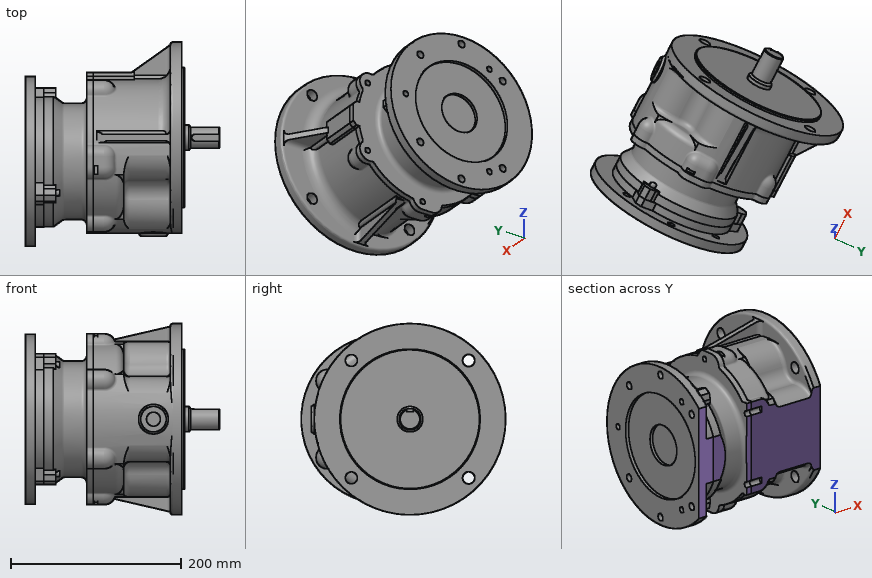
import cadquery as cq
import math

input_y = -28.0
gear_y = -21.5

tolerance = 0.01

flange_end = 12.0
collar_end = 22.0
ring_end = 33.0
clamp_end = 36.0
cone_end = 44.7
cover_start = 72.0
cover_end = 80.0
lobe_end = 92.8
valley_start = 115.8
output_start = 170.4
output_end = 184.0
pilot_end = 187.4
shoulder_end = 194.5
shaft_end = 228.5

input_diameter = 200.0
spigot_diameter = 130.0
spigot_depth = 4.5
bore_diameter = 50.0
bore_depth = 4.0
motor_hole_diameter = 9.0
motor_circle_radius = 82.5
vertical_hole_radius = 90.0
diagonal_angles = (45, 135, 225, 315)
lug_hole_diameter = 7.0
lug_hole_radius = 79.0
lug_hole_depth = 18.0

collar_radius = 77.0
lug_angles = (0, 120, 240)
lug_tip_radius = 86.5
lug_tip_half = 4.2
collar_lug_foot = (75.5, 15.1)
clamp_shoulder = (80.8, 9.4)
clamp_foot = (75.0, 12.0)
nub_angles = (120, 240)
nub_radius = 4.0
nub_circle_radius = 73.5
nub_end = 40.7
neck_radius = 68.5
neck_fillet = 6.0
cone_fillet = 2.8

barrel_radius = 91.0
lobe_radius = 13.5
lobe_y_offset = 75.5
lobe_height = 45.0
top_lobe_height = 87.0
top_lobe_stretch = 13.5
lobe_fillet = 3.0
screw_circle_radius = 90.0
screw_hole_diameter = 6.8
screw_hole_end = 95.0
notch_offset = 1.0
notch_length = 4.0
notch_width = 10.0
notch_depth = 4.5
notch_y = -38.0

pad_top = 76.8
pad_half_width = 16.0
pad_corner = 4.5
pad_end = 128.0

output_diameter = 225.0
rim_fillet = 3.3
mount_hole_diameter = 14.0
mount_circle_diameter = 195.0
pilot_diameter = 165.0
pilot_chamfer = 1.0
root_fillet = 14.0

valley_radius = 19.2
valley_upper_bulge = 34.0
valley_lower_bulge = 33.0
valley_top = (-18.3, 91.2)
valley_upper_turn = (-49.9, 65.3)
valley_lower_turn = (-73.0, 50.0)
valley_bottom = (-107.5, 30.0)
valley_inner_fillet = 7.0
valley_root_fillet = 4.5
valley_brow_fillet = 10.0

rib_thickness = 7.5
rib_tip_radius = 109.0
rib_root_fillet = 4.5
rib_gear_side_fillet = 2.0
rib_flange_fillet = 6.0
rib_vertical_start = (84.0, 89.0)
rib_side_start = (125.0, pad_top)

plug_x = 150.6
plug_face_diameter = 30.0
plug_base_diameter = 35.0
plug_height = 3.4
plug_hole_diameter = 16.4
plug_hole_depth = 8.0

shoulder_diameter = 30.0
shoulder_chamfer = 2.5
shaft_diameter = 25.0
shaft_chamfer = 1.0
key_width = 8.0
key_depth = 4.0
key_start = 195.5


def plane_at(x, y=0.0):
    """Plane across the machine: local x runs along +Y, local y along +Z, extrusion along +X."""
    return cq.Workplane(cq.Plane(origin=(x, y, 0), xDir=(0, 1, 0), normal=(1, 0, 0)))


def disc(start, end, radius, y=0.0):
    return plane_at(start, y).circle(radius).extrude(end - start)


def lug(start, end, half_outline, angle):
    """Radial lug on the input axis, from half of its outline given as (radius, half width)."""
    outline = half_outline + [(radius, -half) for radius, half in reversed(half_outline)]
    base = plane_at(start, input_y).polyline(outline).close().extrude(end - start)
    return base.rotate((0, input_y, 0), (1, input_y, 0), angle)


def polar(radius, angle):
    return (radius * math.cos(math.radians(angle)), radius * math.sin(math.radians(angle)))


def make_input_flange():
    body = disc(0, flange_end, input_diameter / 2, input_y)
    body = body.union(disc(flange_end, collar_end, collar_radius, input_y))
    half = [collar_lug_foot, (lug_tip_radius, lug_tip_half)]
    for angle in lug_angles:
        body = body.union(lug(flange_end, collar_end, half, angle))
    body = body.cut(disc(0, spigot_depth, spigot_diameter / 2, input_y))
    body = body.cut(disc(0, spigot_depth + bore_depth, bore_diameter / 2, input_y))
    motor_holes = [polar(motor_circle_radius, angle) for angle in diagonal_angles]
    motor_holes += [polar(vertical_hole_radius, angle) for angle in (90, 270)]
    holes = plane_at(0, input_y).pushPoints(motor_holes)
    body = body.cut(holes.circle(motor_hole_diameter / 2).extrude(flange_end))
    lug_holes = plane_at(0, input_y).pushPoints([polar(lug_hole_radius, angle) for angle in lug_angles])
    return body.cut(lug_holes.circle(lug_hole_diameter / 2).extrude(lug_hole_depth))


def lobe_centres():
    """Lobe centres as (y, z) pairs; each stretched lobe is a pair of centres."""
    side = [((gear_y + sy * lobe_y_offset, sz * lobe_height),) for sy in (1, -1) for sz in (1, -1)]
    stretched = [
        ((gear_y, sz * top_lobe_height), (gear_y - top_lobe_stretch, sz * top_lobe_height))
        for sz in (1, -1)
    ]
    return side + stretched


def lobe_half_section(start, end, domed):
    """Half section of a lobe in the XY plane, above the X axis."""
    sketch = cq.Workplane("XY").moveTo(start, 0).lineTo(start, lobe_radius).lineTo(end, lobe_radius)
    if domed:
        return sketch.radiusArc((end + lobe_radius, 0), lobe_radius).close()
    return sketch.lineTo(end, 0).close()


def lobe(centres, start, end, domed):
    """Screw lobe along X, optionally closed by a dome."""
    post = lobe_half_section(start, end, domed).revolve(360, (0, 0, 0), (1, 0, 0))
    y, z = centres[0]
    body = post.translate((0, y, z))
    if len(centres) > 1:
        y_last = centres[1][0]
        half_web = lobe_half_section(start, end, domed).extrude(y - y_last)
        for turn in (90, -90):
            web = half_web.rotate((0, 0, 0), (1, 0, 0), turn)
            web_y = y if turn > 0 else y_last
            body = body.union(web.translate((0, web_y, z)))
        body = body.union(post.translate((0, y_last, z)))
    return body


def lobed_barrel(start, end, straight_end, domed):
    """Length of the gear barrel with its screw lobes blended in."""
    body = disc(start, end, barrel_radius, gear_y)
    for centres in lobe_centres():
        body = body.union(lobe(centres, start, straight_end, domed))
    root_edges = []
    for edge in body.edges().vals():
        middle = edge.positionAt(0.5)
        on_barrel = abs(math.hypot(middle.y - gear_y, middle.z) - barrel_radius) < tolerance
        along_axis = edge.BoundingBox().xlen > lobe_fillet
        if on_barrel and along_axis and abs(middle.z) > lobe_radius:
            root_edges.append(edge)
    return body.newObject(root_edges).fillet(lobe_fillet)


def pad(start, end):
    """Pad along the +Y side of the barrel."""
    block = plane_at(start).center(pad_top / 2, 0).rect(pad_top, 2 * pad_half_width).extrude(end - start)
    return block.edges("|X and >Y").chamfer(pad_corner)


def screw_holes(start, end):
    points = [polar(screw_circle_radius, angle) for angle in range(30, 390, 60)]
    return plane_at(start, gear_y).pushPoints(points).circle(screw_hole_diameter / 2).extrude(end - start)


def make_neck_cover():
    profile = [
        (collar_end, 0), (collar_end, collar_radius), (ring_end, collar_radius),
        (cone_end, neck_radius), (cover_start - neck_fillet, neck_radius),
    ]
    fillet_end = (cover_start, neck_radius + neck_fillet)
    fillet_middle = (
        cover_start - neck_fillet + neck_fillet * math.sin(math.pi / 4),
        neck_radius + neck_fillet - neck_fillet * math.cos(math.pi / 4),
    )
    neck = cq.Workplane("XY").polyline(profile).threePointArc(fillet_middle, fillet_end)
    neck = neck.lineTo(cover_start, 0).close().revolve(360, (0, 0, 0), (1, 0, 0))
    cone_corner = cq.selectors.NearestToPointSelector((cone_end, 0, 0))
    body = neck.edges("%CIRCLE").edges(cone_corner).fillet(cone_fillet).translate((0, input_y, 0))
    half = [clamp_foot, clamp_shoulder, (lug_tip_radius, lug_tip_half)]
    for angle in lug_angles:
        body = body.union(lug(collar_end, clamp_end, half, angle))
    for angle in nub_angles:
        y, z = polar(nub_circle_radius, angle)
        nub = plane_at(ring_end, input_y).center(y, z).circle(nub_radius).extrude(nub_end - ring_end)
        body = body.union(nub.faces(">X").edges().fillet(nub_radius / 2))
    body = body.union(lobed_barrel(cover_start, cover_end, cover_end, False))
    body = body.union(pad(cover_start, cover_end))
    return body.cut(screw_holes(cover_start, cover_end))


def valley_outline(start):
    """Clearance around one mounting hole, between two rounded bulges of the barrel."""
    far_y = -output_diameter
    far_z = output_diameter
    return (
        plane_at(start).moveTo(*valley_top)
        .radiusArc(valley_upper_turn, -valley_upper_bulge)
        .radiusArc(valley_lower_turn, valley_radius)
        .radiusArc(valley_bottom, -valley_lower_bulge)
        .lineTo(far_y, valley_bottom[1]).lineTo(far_y, far_z).lineTo(valley_top[0], far_z).close()
    )


def valley_cutter():
    """Valley with rounded floor ends and a rounded brow at the top of its end wall."""
    cutter = valley_outline(valley_start).extrude(output_start - valley_start)
    cutter = cutter.faces("<X").edges("%CIRCLE").fillet(valley_inner_fillet)
    cutter = cutter.faces(">X").edges("%CIRCLE").fillet(valley_root_fillet)
    brow_start = valley_start - valley_brow_fillet
    core = disc(cover_end, valley_start, barrel_radius, gear_y).faces(">X").edges().fillet(valley_brow_fillet)
    brow = valley_outline(brow_start).offset2D(-valley_inner_fillet).extrude(valley_brow_fillet)
    return cutter.union(brow.cut(core))


def root_flare():
    """Concave fillet from the barrel to the output flange, on the +Y side only."""
    section = (
        cq.Workplane("XY").moveTo(output_start - root_fillet, barrel_radius)
        .radiusArc((output_start, barrel_radius + root_fillet), -root_fillet)
        .lineTo(output_start, 0).lineTo(output_start - root_fillet, 0).close()
    )
    ring = section.revolve(360, (0, 0, 0), (1, 0, 0)).translate((0, gear_y, 0))
    half_space = plane_at(cover_end).center(output_diameter / 2, 0)
    half_space = half_space.rect(output_diameter, 2 * output_diameter).extrude(output_start - cover_end)
    return ring.intersect(half_space)


def make_barrel():
    barrel = lobed_barrel(cover_end, output_start, lobe_end, True)
    cutter = valley_cutter()
    barrel = barrel.cut(cutter).cut(cutter.mirror("XY"))
    flush = disc(output_start, output_start + rim_fillet, barrel_radius, gear_y)
    return barrel.union(flush).union(root_flare())


def barrel_height(offset, angle):
    """Height of the barrel surface beside a rib that points outward at an angle from +Y."""
    cosine = math.cos(math.radians(angle))
    sine = math.sin(math.radians(angle))
    centre_height = gear_y * cosine
    centre_offset = -gear_y * sine
    return centre_height + math.sqrt(barrel_radius**2 - (offset - centre_offset)**2)


def rib(start, angle, minus_fillet, plus_fillet):
    """Triangular web from the barrel to the output flange, flared at both roots.

    The two root fillets are on its local -Z and +Z sides, before it is turned to its angle.
    """
    half = rib_thickness / 2
    start_x = start[0]
    outline = [start, (output_start, rib_tip_radius), (output_start, 0), (start_x, 0)]
    triangle = cq.Workplane("XY").polyline(outline).close().extrude(half + rib_flange_fillet, both=True)

    flange_x = output_start - rib_flange_fillet
    plan = (
        cq.Workplane("XZ").moveTo(start_x, -half).lineTo(flange_x, -half)
        .radiusArc((output_start, -half - rib_flange_fillet), rib_flange_fillet)
        .lineTo(output_start, half + rib_flange_fillet)
        .radiusArc((flange_x, half), rib_flange_fillet)
        .lineTo(start_x, half).close().extrude(-rib_tip_radius)
    )

    minus_foot = half + minus_fillet
    plus_foot = half + plus_fillet
    minus_height = barrel_height(-minus_foot, angle)
    plus_height = barrel_height(plus_foot, angle)
    root = (
        plane_at(start_x).moveTo(0, 0).lineTo(0, -minus_foot).lineTo(minus_height, -minus_foot)
        .radiusArc((minus_height + minus_fillet, -half), -minus_fillet)
        .lineTo(plus_height + plus_fillet, half)
        .radiusArc((plus_height, plus_foot), -plus_fillet)
        .lineTo(0, plus_foot).close().extrude(output_start - start_x)
    )
    web = triangle.intersect(plan.union(root))
    return web.rotate((0, 0, 0), (1, 0, 0), angle)


def plug_plane(distance):
    """Plane facing -Y at a distance from the gear axis, centred on the oil plug."""
    return cq.Workplane("XZ", origin=(plug_x, gear_y - distance, 0))


def plug_boss():
    """Oil plug boss on the -Y side, flaring out toward the barrel."""
    flare = (plug_base_diameter - plug_face_diameter) / 2
    slope = math.degrees(math.atan2(flare, plug_height))
    boss = plug_plane(barrel_radius).circle(plug_base_diameter / 2).extrude(plug_height, taper=slope)
    root = plug_plane(barrel_radius - flare).circle(plug_base_diameter / 2).extrude(flare)
    return boss.union(root)


def plug_hole():
    face = plug_plane(barrel_radius + plug_height)
    return face.circle(plug_hole_diameter / 2).extrude(-plug_hole_depth)


def notch(side):
    """Pry notch in the shoulder of an upper or lower lobe, beside the cover joint."""
    centre_z = side * (top_lobe_height + lobe_radius)
    centre_x = cover_end + notch_offset + notch_length / 2
    return cq.Workplane("XY").box(notch_length, notch_width, 2 * notch_depth).translate(
        (centre_x, notch_y, centre_z))


def make_housing():
    body = make_barrel()
    flange = disc(output_start, output_end, output_diameter / 2).faces("<X").edges().fillet(rim_fillet)
    body = body.union(flange)
    body = body.union(rib(rib_side_start, 0, rib_root_fillet, rib_root_fillet))
    body = body.union(rib(rib_vertical_start, 90, rib_root_fillet, rib_gear_side_fillet))
    body = body.union(rib(rib_vertical_start, -90, rib_gear_side_fillet, rib_root_fillet))
    body = body.union(pad(cover_end, pad_end))
    pilot = disc(output_end, pilot_end, pilot_diameter / 2).faces(">X").edges().chamfer(pilot_chamfer)
    body = body.union(pilot)
    body = body.union(plug_boss()).cut(plug_hole())
    body = body.cut(notch(1)).cut(notch(-1))
    mounts = plane_at(output_start).pushPoints(
        [polar(mount_circle_diameter / 2, angle) for angle in diagonal_angles])
    body = body.cut(mounts.circle(mount_hole_diameter / 2).extrude(output_end - output_start))
    return body.cut(screw_holes(cover_end, screw_hole_end))


def make_shaft():
    shoulder = disc(pilot_end, shoulder_end, shoulder_diameter / 2)
    shoulder = shoulder.faces(">X").edges().chamfer(shoulder_chamfer)
    journal = disc(pilot_end, shaft_end, shaft_diameter / 2)
    journal = journal.faces(">X").edges().chamfer(shaft_chamfer)
    shaft = shoulder.union(journal)
    floor = shaft_diameter / 2 - key_depth
    key_radius = key_width / 2
    keyway = (
        cq.Workplane("XY", origin=(0, 0, floor)).moveTo(shaft_end, -key_radius)
        .lineTo(key_start + key_radius, -key_radius)
        .threePointArc((key_start, 0), (key_start + key_radius, key_radius))
        .lineTo(shaft_end, key_radius).close().extrude(key_depth)
    )
    return shaft.cut(keyway)


input_flange = make_input_flange()
neck_cover = make_neck_cover()
housing = make_housing()
shaft = make_shaft()
result = cq.Compound.makeCompound([input_flange.val(), neck_cover.val(), housing.val(), shaft.val()])